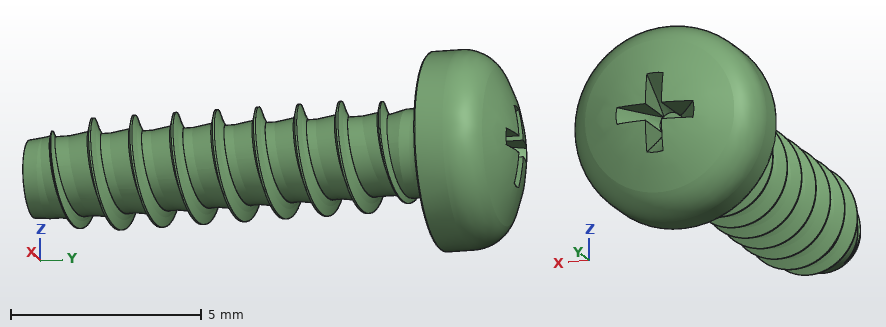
import cadquery as cq
import math


head_diameter = 5.3
head_radius = head_diameter / 2
head_height = 2.25
head_rim_height = 0.8
head_corner_radius = 1.06
bearing_edge_chamfer = 0.04

recess_slot_width = 0.45
recess_radius = 1.09
recess_floor_radius = 0.33
recess_rim_depth = 0.13
recess_depth = 1.46

shank_length = 11.03
neck_radius = 1.18
neck_fillet = 0.49
neck_length = 0.77
core_start = 1.22
core_radius = 1.07
tip_taper_length = 0.4
tip_radius = 1.04
tip_dimple_radius = 0.98
tip_dimple_depth = 0.1

eight_turn_advance = 8.96
pitch = eight_turn_advance / 8
crest_radius = 1.5
first_crest_depth = 0.93
zero_turn_angle = -math.pi / 2
thread_start_turn = -0.6
full_start_turn = 0.8
full_end_turn = 7.6
thread_end_turn = 8.9
start_height_share = 0.25
end_height_share = 0.03
root_overlap = 0.05
longest_segment = 0.5
segment_steps = 8

tooth_height = crest_radius - core_radius
crest_half_width = 0.03
flank_foot_head_side = (-0.2, 0.01)
flank_bend_head_side = (-0.12, 0.17)
flank_foot_tip_side = (0.15, 0.08)
flare_end = (0.74, -0.01)
thread_section = [
    flank_foot_head_side,
    flank_bend_head_side,
    (-crest_half_width, tooth_height),
    (crest_half_width, tooth_height),
    flank_foot_tip_side,
    flare_end,
]


def make_head_and_shank():
    """Revolve the head, the neck, the core and the dimpled tip in one profile."""
    corner_x = head_radius - head_corner_radius
    drop = head_height - head_rim_height
    crown_radius = (corner_x**2 + drop**2 - head_corner_radius**2) / (2 * (drop - head_corner_radius))
    crown_center_y = head_height - crown_radius
    crown_angle = math.atan2(corner_x, head_rim_height - crown_center_y)

    def crown_point(angle):
        return (crown_radius * math.sin(angle), crown_center_y + crown_radius * math.cos(angle))

    fillet_middle = neck_fillet * (1 - math.sqrt(0.5))
    profile = (
        cq.Workplane("XY")
        .moveTo(0, head_height)
        .threePointArc(crown_point(crown_angle / 2), crown_point(crown_angle))
        .tangentArcPoint((head_radius, head_rim_height), relative=False)
        .lineTo(head_radius, bearing_edge_chamfer)
        .lineTo(head_radius - bearing_edge_chamfer, 0)
        .lineTo(neck_radius + neck_fillet, 0)
        .threePointArc((neck_radius + fillet_middle, -fillet_middle), (neck_radius, -neck_fillet))
        .lineTo(neck_radius, -neck_length)
        .lineTo(core_radius, -core_start)
        .lineTo(core_radius, tip_taper_length - shank_length)
        .lineTo(tip_radius, -shank_length)
        .lineTo(tip_dimple_radius, -shank_length)
        .lineTo(0, tip_dimple_depth - shank_length)
        .close()
    )
    return profile.revolve(360, (0, 0, 0), (0, 1, 0))


def make_recess():
    """Two crossed slots, trimmed by a cone that narrows toward the recess floor."""
    slot_length = 2 * head_radius
    slots = cq.Workplane("XY").box(slot_length, slot_length, recess_slot_width)
    slots = slots.union(cq.Workplane("XY").box(recess_slot_width, slot_length, slot_length))
    floor_y = head_height - recess_depth
    cone = (
        cq.Workplane("XY")
        .moveTo(0, floor_y)
        .lineTo(recess_floor_radius, floor_y)
        .lineTo(recess_radius, head_height - recess_rim_depth)
        .lineTo(recess_radius, head_height)
        .lineTo(0, head_height)
        .close()
        .revolve(360, (0, 0, 0), (0, 1, 0))
    )
    return slots.translate((0, floor_y + slot_length / 2, 0)).intersect(cone)


def height_share(turn):
    """Share of the full thread size: it grows from the neck and fades toward the tip."""
    if turn < full_start_turn:
        rise = (turn - thread_start_turn) / (full_start_turn - thread_start_turn)
        return start_height_share + (1 - start_height_share) * rise
    if turn > full_end_turn:
        fall = (turn - full_end_turn) / (thread_end_turn - full_end_turn)
        return 1 - (1 - end_height_share) * fall
    return 1.0


def thread_point(turn, axial, radius):
    """Point at a radius, shifted along the axis from the crest toward the tip."""
    angle = zero_turn_angle + 2 * math.pi * turn
    y = -first_crest_depth - pitch * turn - axial
    return cq.Vector(radius * math.cos(angle), y, radius * math.sin(angle))


def thread_edge(turns, axial, height):
    """Helical edge followed by one corner of the section, shrinking with the height share."""
    points = []
    for turn in turns:
        share = height_share(turn)
        points.append(thread_point(turn, axial * share, core_radius + height * share))
    return cq.Edge.makeSpline(points)


def base_edge(turns, axial):
    """Helical edge sunk below the core surface, so that the thread overlaps the core."""
    base_radius = core_radius - root_overlap
    points = [thread_point(turn, axial * height_share(turn), base_radius) for turn in turns]
    return cq.Edge.makeSpline(points)


def make_thread_segment(start_turn, end_turn):
    """Bound a stretch of thread by strips between its helical edges and close both ends."""
    turn_step = (end_turn - start_turn) / segment_steps
    turns = [start_turn + i * turn_step for i in range(segment_steps + 1)]
    edges = [thread_edge(turns, axial, height) for axial, height in thread_section]
    edges.append(base_edge(turns, flare_end[0]))
    edges.append(base_edge(turns, flank_foot_head_side[0]))
    faces = [cq.Face.makeRuledSurface(a, b) for a, b in zip(edges, edges[1:] + edges[:1])]
    for end in (0, 1):
        corners = [edge.positionAt(end) for edge in edges]
        faces.append(cq.Face.makeFromWires(cq.Wire.makePolygon(corners, close=True)))
    return cq.Solid.makeSolid(cq.Shell.makeShell(faces))


def make_thread_segments():
    """Cut the thread into equal segments within its growing, full and fading stretches."""
    stretch_ends = [thread_start_turn, full_start_turn, full_end_turn, thread_end_turn]
    segments = []
    for start, end in zip(stretch_ends, stretch_ends[1:]):
        count = math.ceil((end - start) / longest_segment)
        length = (end - start) / count
        for i in range(count):
            segments.append(make_thread_segment(start + i * length, start + (i + 1) * length))
    neck_zone = cq.Solid.makeCylinder(
        2 * crest_radius, 2 * neck_length, cq.Vector(0, -neck_length, 0), cq.Vector(0, 1, 0)
    )
    trimmed = [segment.cut(neck_zone) for segment in segments]
    return [segment for segment in trimmed if segment.Volume() > 0]


screw = make_head_and_shank().cut(make_recess()).val()
result = cq.Workplane(obj=screw.fuse(*make_thread_segments())).solids()